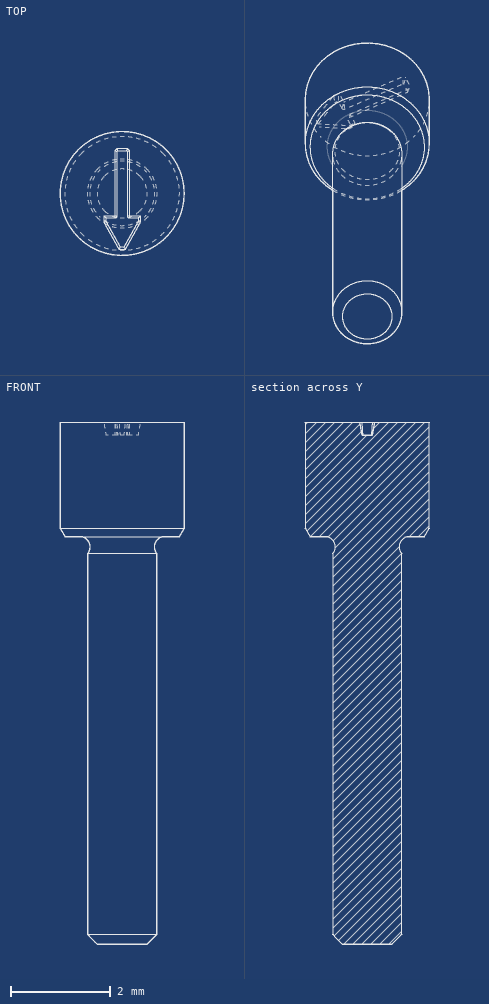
import cadquery as cq

total_length = 10.5
head_diameter = 2.5
head_height = 2.3
head_chamfer_width = 0.1
head_chamfer_height = 0.17
shaft_diameter = 1.4
shaft_chamfer = 0.2

neck_height = 0.34
neck_diameter = 1.3
neck_top_diameter = 1.62
neck_waist_height = 0.13

arrow_depth = 0.25
arrow_wall_angle = 10.0
arrow_tail_y = 0.9
arrow_shoulder_y = -0.45
arrow_barb_y = -0.58
arrow_tip_y = -1.12
arrow_stem_width = 0.29
arrow_head_width = 0.74
arrow_tip_width = 0.13
arrow_tail_chamfer = 0.04


def make_pin():
    """Revolve the half profile of shaft, neck and head about Z."""
    head_radius = head_diameter / 2
    shaft_radius = shaft_diameter / 2
    head_bottom = total_length - head_height
    shaft_end = head_bottom - neck_height
    profile = (
        cq.Workplane("XZ")
        .lineTo(shaft_radius - shaft_chamfer, 0)
        .lineTo(shaft_radius, shaft_chamfer)
        .lineTo(shaft_radius, shaft_end)
        .threePointArc(
            (neck_diameter / 2, shaft_end + neck_waist_height),
            (neck_top_diameter / 2, head_bottom),
        )
        .lineTo(head_radius - head_chamfer_width, head_bottom)
        .lineTo(head_radius, head_bottom + head_chamfer_height)
        .lineTo(head_radius, total_length)
        .lineTo(0, total_length)
        .close()
    )
    return profile.revolve(360, (0, 0, 0), (0, 1, 0))


def make_arrow():
    """Tapered arrow-shaped cutter with blunt tail corners, barbs and tip."""
    stem_x = arrow_stem_width / 2
    barb_x = arrow_head_width / 2
    tip_x = arrow_tip_width / 2
    right_side = [
        (stem_x - arrow_tail_chamfer, arrow_tail_y),
        (stem_x, arrow_tail_y - arrow_tail_chamfer),
        (stem_x, arrow_shoulder_y),
        (barb_x, arrow_shoulder_y),
        (barb_x, arrow_barb_y),
        (tip_x, arrow_tip_y),
    ]
    left_side = [(-x, y) for x, y in reversed(right_side)]
    return (
        cq.Workplane("XY")
        .workplane(offset=total_length)
        .polyline(right_side + left_side)
        .close()
        .extrude(-arrow_depth, taper=arrow_wall_angle)
    )


result = make_pin().cut(make_arrow())